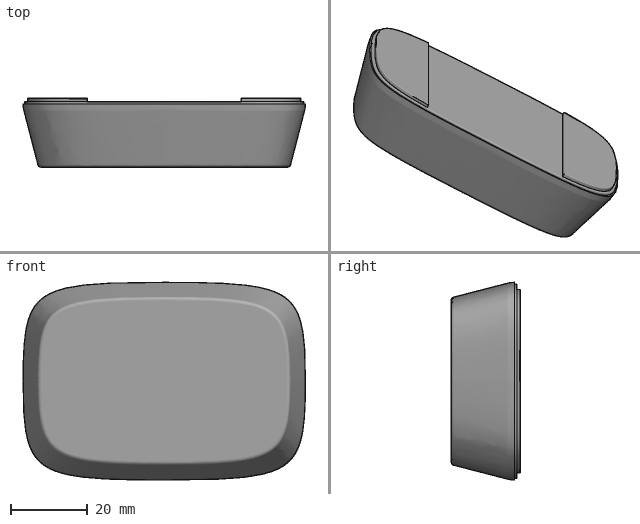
import cadquery as cq
import math

LENGTH = 73.45
HEIGHT = 51.45
DEPTH = 18.0

CORNER_FULLNESS = 0.935
FRONT_CORNER_FULLNESS = 0.91

TAPER_ANGLE = math.radians(14.5)
TAPER_END_Y = 14.7
BODY_BACK_Y = 16.5
FRONT_EDGE_RADIUS = 0.9

LIP_INSET = 0.4
LIP_BACK_Y = 17.1
LIP_EDGE_RADIUS = 0.3

PAD_INSET = 1.2
PAD_INNER_X = 20.0
PAD_EDGE_RADIUS = 0.2


def outline_wire(y, inset, fullness=CORNER_FULLNESS):
    """Closed outline at level y made of four quarter curves, with both half sizes reduced by inset."""
    half_length = LENGTH / 2 - inset
    half_height = HEIGHT / 2 - inset
    quarters = []
    for sign_x, sign_z in [(1, 1), (-1, 1), (-1, -1), (1, -1)]:
        side_x = sign_x * half_length
        side_z = sign_z * half_height
        control_points = [
            cq.Vector(side_x, y, 0),
            cq.Vector(side_x, y, fullness * side_z),
            cq.Vector(fullness * side_x, y, side_z),
            cq.Vector(0, y, side_z),
        ]
        if sign_x != sign_z:
            control_points.reverse()
        quarters.append(cq.Edge.makeBezier(control_points))
    return cq.Wire.assembleEdges(quarters)


def loft(wires, ruled=True):
    """Solid through successive outlines, with straight walls when ruled."""
    return cq.Workplane(cq.Solid.makeLoft(wires, ruled))


def straight_wall(front_y, back_y, inset):
    """Solid of constant outline between two levels."""
    return loft([outline_wire(front_y, inset), outline_wire(back_y, inset)])


def make_body():
    """Tapered body whose wall bends to square with the back at its widest level."""
    rim_radius = (BODY_BACK_Y - TAPER_END_Y) / math.sin(TAPER_ANGLE)
    rim_inset = rim_radius * (1 - math.cos(TAPER_ANGLE))
    middle_angle = TAPER_ANGLE / 2
    middle_y = BODY_BACK_Y - rim_radius * math.sin(middle_angle)
    middle_inset = rim_radius * (1 - math.cos(middle_angle))
    front_inset = rim_inset + TAPER_END_Y * math.tan(TAPER_ANGLE)
    front_wire = outline_wire(0, front_inset, FRONT_CORNER_FULLNESS)
    taper_end_wire = outline_wire(TAPER_END_Y, rim_inset)
    rim_middle_wire = outline_wire(middle_y, middle_inset)
    widest_wire = outline_wire(BODY_BACK_Y, 0)
    taper = loft([front_wire, taper_end_wire])
    taper = taper.faces("<Y").edges().fillet(FRONT_EDGE_RADIUS)
    rim = loft([taper_end_wire, rim_middle_wire, widest_wire], ruled=False)
    return taper.union(rim)


def make_lip():
    """Low step on the back, set in from the widest outline."""
    lip = straight_wall(BODY_BACK_Y, LIP_BACK_Y, LIP_INSET)
    return lip.faces(">Y").edges().fillet(LIP_EDGE_RADIUS)


def make_pads():
    """Raised end pads that follow the outline and stop at a straight inner side."""
    pads = straight_wall(LIP_BACK_Y, DEPTH, PAD_INSET)
    gap = cq.Workplane().box(2 * PAD_INNER_X, 2 * DEPTH, 2 * HEIGHT)
    return pads.cut(gap).faces(">Y").edges().fillet(PAD_EDGE_RADIUS)


result = make_body().union(make_lip()).union(make_pads())